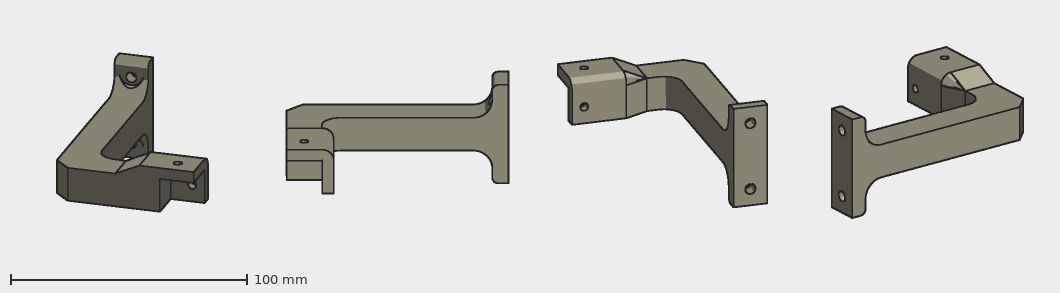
import cadquery as cq

length_x = 63.0
length_y = 94.0
plate_height = 45.0
bar = 15.0
half_bar = bar / 2

plate_thickness = 7.0
plate_edge_radius = 2.6
root_radius = 8.0
screw_diameter = 4.5
screw_offset = 15.0
relief_radius = 5.45
relief_shift = 1.9
relief_depth = 7.5
relief_slope = 0.45

corner_chamfer = 7.0
elbow_radius = 8.0

flange = 5.0
ramp_start = 28.1
ramp_end = 38.8
recess_length = 15.0
end_hole_diameter = 3.5
back_hole_x = 57.5
top_hole_x = 53.6

plate_face = length_y - plate_thickness


def make_arms():
    """L-shaped bar with a chamfered outer and a rounded inner corner."""
    arms = (
        cq.Workplane("XY")
        .workplane(offset=-half_bar)
        .polyline([(0, 0), (length_x, 0), (length_x, bar), (bar, bar), (bar, length_y), (0, length_y)])
        .close()
        .extrude(bar)
    )
    arms = arms.edges(cq.selectors.NearestToPointSelector((0, 0, 0))).chamfer(corner_chamfer)
    return arms.edges(cq.selectors.NearestToPointSelector((bar, bar, 0))).fillet(elbow_radius)


def make_plate():
    """Wall plate with rounded front edges and its blends into the arm."""
    plate = (
        cq.Workplane("XY")
        .box(bar, plate_thickness, plate_height, centered=(False, False, True))
        .translate((0, plate_face, 0))
        .edges("|X and <Y")
        .fillet(plate_edge_radius)
    )
    blend_start = plate_face - root_radius
    blend_top = half_bar + root_radius
    blend = (
        cq.Workplane("YZ")
        .moveTo(blend_start, half_bar)
        .lineTo(plate_face, half_bar)
        .lineTo(plate_face, blend_top)
        .radiusArc((blend_start, half_bar), root_radius)
        .close()
        .extrude(bar)
    )
    return plate.union(blend).union(blend.mirror("XY"))


def make_end_thickening():
    """Ramped top and back leaves joined by a round outer edge."""
    def ramp_profile(plane):
        return (
            cq.Workplane(plane)
            .moveTo(ramp_start, half_bar if plane == "XZ" else bar)
            .line(ramp_end - ramp_start, flange)
            .lineTo(length_x, half_bar + flange if plane == "XZ" else bar + flange)
            .line(0, -flange)
            .close()
        )

    top_leaf = ramp_profile("XZ").extrude(-bar)
    back_leaf = ramp_profile("XY").extrude(half_bar, both=True)
    round_edge = (
        cq.Workplane("XY")
        .polyline([(ramp_start, 0), (ramp_end, flange), (length_x, flange), (length_x, 0)])
        .close()
        .revolve(360, (0, 0), (1, 0))
        .translate((0, bar, half_bar))
    )
    return top_leaf.union(back_leaf).union(round_edge)


def cut_end(body):
    """Open the end into an angle and drill one hole in each leaf."""
    recess = cq.Workplane("XY").box(recess_length, bar, bar, centered=(False, False, True))
    body = body.cut(recess.translate((length_x - recess_length, 0, 0)))
    hole_radius = end_hole_diameter / 2
    back_hole = cq.Workplane("XZ").center(back_hole_x, 0).circle(hole_radius).extrude(-(bar + flange))
    top_hole = cq.Workplane("XY").center(top_hole_x, half_bar).circle(hole_radius).extrude(half_bar + flange)
    return body.cut(back_hole).cut(top_hole)


def cut_screw(body, side):
    """Screw hole with a tapered head relief; side is +1 for upper, -1 for lower."""
    screw_z = side * screw_offset
    hole = (
        cq.Workplane("XZ", origin=(half_bar, length_y, screw_z))
        .circle(screw_diameter / 2)
        .extrude(plate_thickness + root_radius)
    )
    relief = cq.Solid.makeCone(
        relief_radius,
        relief_radius + relief_slope * relief_depth,
        relief_depth,
        cq.Vector(half_bar, plate_face, screw_z + side * relief_shift),
        cq.Vector(0, -1, 0),
    )
    return body.cut(hole).cut(cq.Workplane("XY").add(relief))


result = make_arms().union(make_plate()).union(make_end_thickening())
result = cut_end(result)
for screw_side in (1, -1):
    result = cut_screw(result, screw_side)